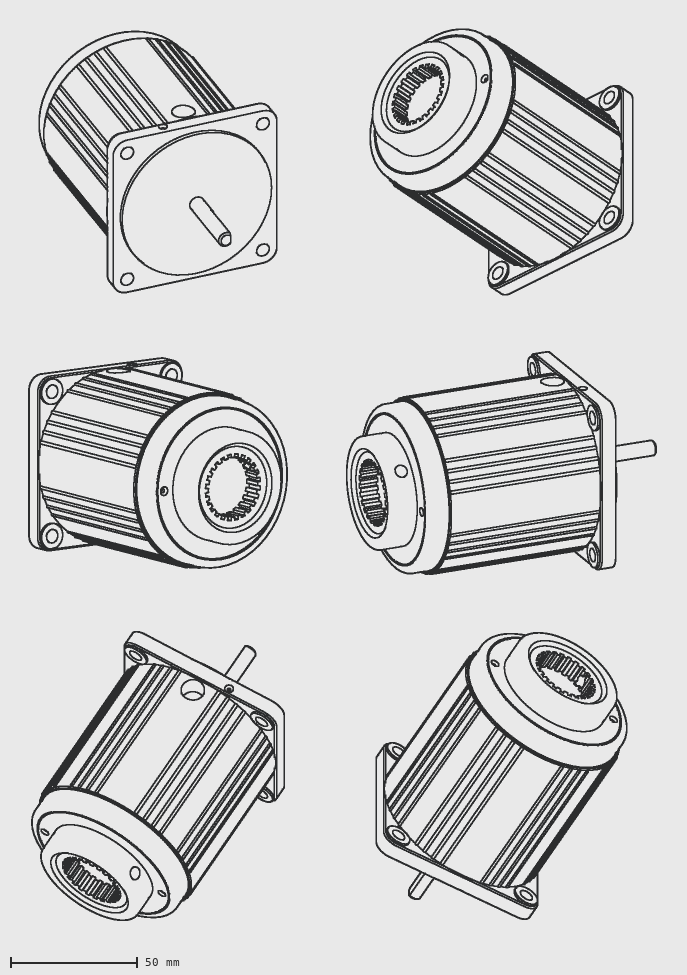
import cadquery as cq
import math

LENGTH = 122.8
COVER_X = 10.5
FRAME_X = 19.4
FLANGE_X = 84.2
FLANGE_END_X = 90.7
PILOT_END_X = 92.6

FLANGE_SIZE = 70.0
FLANGE_CORNER_RADIUS = 6.0
FLANGE_CHAMFER = 0.6
PILOT_RADIUS = 31.9
BOLT_OFFSET = 29.0
BOLT_DIAMETER = 5.4
PAD_DIAMETER = 10.2
PAD_HEIGHT = 0.9

FRAME_RADIUS = FLANGE_SIZE / 2
FRAME_CHAMFER = 0.5
SHELL_RADIUS = 33.9
SHELL_FILLET = 2.2
RIB_RADIUS = 0.7
RIB_PROUD = 0.4
RIB_ANGLES = (9, 16, 23, 30)
CABLE_HOLE_X = 79.0
CABLE_HOLE_DIAMETER = 9.2
CABLE_HOLE_DEPTH = 9.8

COVER_RADIUS = 30.0
COVER_GAP = 0.5
COVER_GAP_DEPTH = 0.5
COVER_THICKNESS = 3.7
HUB_RADIUS = 22.7
HUB_FILLET = 0.7
BORE_MOUTH_RADIUS = 17.8
BORE_MOUTH_CHAMFER = 1.5
SPLINE_TIP_RADIUS = 11.9
SPLINE_ROOT_RADIUS = 13.3
SPLINE_COUNT = 24
SPLINE_SLOT_WIDTH = 1.6
SPLINE_LENGTH = 7.4
SET_SCREW_X = 6.0
SET_SCREW_DIAMETER = 5.0
SET_SCREW_ANGLE = 40.0

COVER_SCREW_OFFSET = 26.9
FLANGE_SCREW_X = 86.7
FLANGE_SCREW_Y = -12.0
SCREW_HEAD_RADIUS = 1.7
SCREW_HOLE_RADIUS = 0.7
SCREW_HOLE_DEPTH = 2.5

SHAFT_RADIUS = 3.1
SHAFT_CHAMFER = 0.7
SHAFT_SEAT_X = FLANGE_X
FLAT_START_X = 102.5
FLAT_OFFSET = 1.8

X_DIRECTION = cq.Vector(1, 0, 0)


def cylinder(start_x, end_x, radius):
    """A cylinder on the motor axis between two stations."""
    return cq.Workplane("YZ").workplane(offset=start_x).circle(radius).extrude(end_x - start_x)


def countersunk_hole(point, direction):
    """The cutter for a blind screw hole with a 90 degree countersink at its mouth."""
    sink_depth = SCREW_HEAD_RADIUS - SCREW_HOLE_RADIUS
    mouth = cq.Vector(*point)
    axis = cq.Vector(*direction)
    sink = cq.Solid.makeCone(SCREW_HEAD_RADIUS, SCREW_HOLE_RADIUS, sink_depth, mouth, axis)
    drill = cq.Solid.makeCylinder(SCREW_HOLE_RADIUS, SCREW_HOLE_DEPTH, mouth, axis)
    return cq.Workplane(sink.fuse(drill))


def make_rib(angle):
    """A round-nosed rib along the frame, ending in the flange."""
    radius_to_rib = FRAME_RADIUS + RIB_PROUD - RIB_RADIUS
    nose_x = FRAME_X + FRAME_CHAMFER + RIB_RADIUS
    y = radius_to_rib * math.cos(math.radians(angle))
    z = radius_to_rib * math.sin(math.radians(angle))
    nose = cq.Vector(nose_x, y, z)
    bar = cq.Solid.makeCylinder(RIB_RADIUS, FLANGE_X - nose_x, nose, X_DIRECTION)
    tip = cq.Workplane("XY").sphere(RIB_RADIUS).translate(nose)
    return tip.union(cq.Workplane(bar))


def make_flange():
    plate = (
        cq.Workplane("YZ").workplane(offset=FLANGE_X)
        .rect(FLANGE_SIZE, FLANGE_SIZE).extrude(FLANGE_END_X - FLANGE_X)
        .edges("|X").fillet(FLANGE_CORNER_RADIUS)
        .faces("<X").chamfer(FLANGE_CHAMFER)
    )
    corners = [(y, z) for y in (-BOLT_OFFSET, BOLT_OFFSET) for z in (-BOLT_OFFSET, BOLT_OFFSET)]
    pads = (
        cq.Workplane("YZ").workplane(offset=FLANGE_X - PAD_HEIGHT)
        .pushPoints(corners).circle(PAD_DIAMETER / 2).extrude(PAD_HEIGHT)
    )
    bolt_holes = (
        cq.Workplane("YZ").workplane(offset=FLANGE_X - PAD_HEIGHT)
        .pushPoints(corners).circle(BOLT_DIAMETER / 2).extrude(FLANGE_END_X - FLANGE_X + PAD_HEIGHT)
    )
    screw_hole = countersunk_hole((FLANGE_SCREW_X, FLANGE_SCREW_Y, FLANGE_SIZE / 2), (0, 0, -1))
    pilot = cylinder(FLANGE_END_X, PILOT_END_X, PILOT_RADIUS)
    return plate.union(pads).cut(bolt_holes).cut(screw_hole).union(pilot)


def make_housing():
    shell = cylinder(COVER_X, FRAME_X, SHELL_RADIUS).faces("<X").edges().fillet(SHELL_FILLET)
    frame = cylinder(FRAME_X, FLANGE_X, FRAME_RADIUS).faces("<X").chamfer(FRAME_CHAMFER)
    housing = make_flange().union(frame).union(shell)
    for diagonal in (45, 135, 225, 315):
        for offset in RIB_ANGLES:
            for side in (-1, 1):
                housing = housing.union(make_rib(diagonal + side * offset))
    cable_hole = (
        cq.Workplane("XY").workplane(offset=FRAME_RADIUS).center(CABLE_HOLE_X, 0)
        .circle(CABLE_HOLE_DIAMETER / 2).extrude(-CABLE_HOLE_DEPTH)
    )
    cover_seat = cylinder(COVER_X, COVER_X + COVER_THICKNESS, COVER_RADIUS)
    cover_gap = cylinder(COVER_X, COVER_X + COVER_GAP_DEPTH, COVER_RADIUS + COVER_GAP)
    shaft_seat = cylinder(SHAFT_SEAT_X, PILOT_END_X, SHAFT_RADIUS)
    return housing.cut(cable_hole).cut(cover_seat).cut(cover_gap).cut(shaft_seat)


def make_spline_bore():
    """The cutter for the toothed bore: a chamfered mouth, then a bore with slots between teeth."""
    mouth = cq.Workplane(cq.Solid.makeCone(
        BORE_MOUTH_RADIUS, BORE_MOUTH_RADIUS - BORE_MOUTH_CHAMFER, BORE_MOUTH_CHAMFER,
        cq.Vector(0, 0, 0), X_DIRECTION,
    ))
    end_x = BORE_MOUTH_CHAMFER + SPLINE_LENGTH
    pitch = 360 / SPLINE_COUNT
    slots = (
        cq.Workplane("YZ").workplane(offset=BORE_MOUTH_CHAMFER)
        .polarArray(SPLINE_ROOT_RADIUS / 2, pitch / 2, 360, SPLINE_COUNT)
        .rect(SPLINE_ROOT_RADIUS, SPLINE_SLOT_WIDTH).extrude(SPLINE_LENGTH)
    )
    bore = cylinder(BORE_MOUTH_CHAMFER, end_x, SPLINE_TIP_RADIUS)
    return mouth.union(bore).union(slots)


def make_rear_cover():
    plate = cylinder(COVER_X, COVER_X + COVER_THICKNESS, COVER_RADIUS)
    hub = cylinder(0, COVER_X, HUB_RADIUS).faces("<X").edges().fillet(HUB_FILLET)
    cover = plate.union(hub).cut(make_spline_bore())

    angle = math.radians(SET_SCREW_ANGLE)
    set_screw_hole = cq.Solid.makeCylinder(
        SET_SCREW_DIAMETER / 2, HUB_RADIUS, cq.Vector(SET_SCREW_X, 0, 0),
        cq.Vector(0, -math.cos(angle), math.sin(angle)),
    )
    cover = cover.cut(cq.Workplane(set_screw_hole))
    for y in (-COVER_SCREW_OFFSET, COVER_SCREW_OFFSET):
        cover = cover.cut(countersunk_hole((COVER_X, y, 0), (1, 0, 0)))
    return cover


def make_shaft():
    shaft = cylinder(SHAFT_SEAT_X, LENGTH, SHAFT_RADIUS).faces(">X").chamfer(SHAFT_CHAMFER)
    flat = cq.Workplane("XY").box(
        LENGTH - FLAT_START_X, SHAFT_RADIUS, 2 * SHAFT_RADIUS, centered=(False, False, True)
    ).translate((FLAT_START_X, FLAT_OFFSET, 0))
    return shaft.cut(flat)


housing = make_housing()
rear_cover = make_rear_cover()
shaft = make_shaft()

result = cq.Compound.makeCompound([housing.val(), rear_cover.val(), shaft.val()])